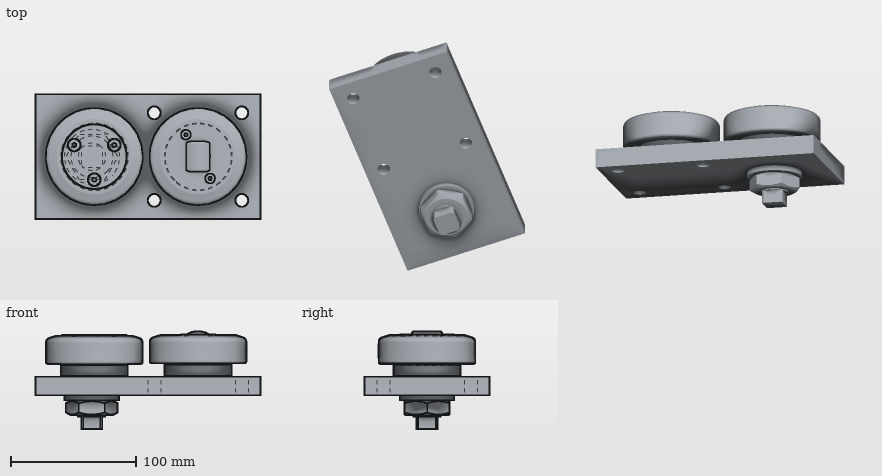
import cadquery as cq
import math

plate_length = 180.0
plate_width = 100.0
plate_thickness = 15.0
plate_hole_diameter = 10.11
plate_hole_margin = 15.0
plate_hole_pitch = 70.0

roller_y = plate_width / 2
left_roller_x = 47.0
right_roller_x = 130.0
roller_radius = 77.7 / 2
roller_height = 22.8
left_roller_base_z = 25.0
right_roller_base_z = 25.5
crown_radius = 500.0
top_face_radius = 30.0
top_cone_angle = math.radians(21.5)
shoulder_radius = 4.2
shoulder_start_height = 17.0
bottom_edge_radius = 2.0
neck_radius = 27.0
neck_gap = 0.5
neck_chamfer = 0.5
core_radius = neck_radius - neck_chamfer

lid_radius = 26.0
lid_height = 0.6
lid_chamfer = 0.3
lid_screw_circle_radius = 18.5
lid_screw_hole_diameter = 10.4
lid_screw_head_diameter = 9.75
lid_screw_count = 3
lid_screw_start_angle = 30.0
lid_socket_across_flats = 3.0
lid_socket_rotation = 30.0
screw_gap_depth = 0.5

cap_screw_circle_radius = 20.0
cap_screw_diameter = 7.8
cap_screw_height = 0.5
cap_screw_count = 2
cap_screw_start_angle = 119.0
cap_socket_across_flats = 2.5
cap_socket_rotation = 0.0

socket_depth = 1.0

axial_roller_radius = 16.0
axial_roller_length = 24.2
axial_roller_top_z = 51.5
axial_roller_edge_radius = 2.0

stud_x = 45.0
collar_diameter = 44.0
collar_height = 4.0
nut_across_flats = 36.0
nut_height = 12.0
nut_face_radius = 16.7
nut_chamfer_angle = math.radians(30.0)
stud_diameter = 22.0
stud_step_height = 1.0
square_size = 17.0
square_height = 10.0


def crown_drop(half_length):
    """Radius lost at the end of a crown that peaks half_length away."""
    return crown_radius - math.sqrt(crown_radius**2 - half_length**2)


def disc(diameter, height, x, y, z):
    return cq.Workplane("XY", origin=(x, y, z)).circle(diameter / 2).extrude(height)


def hex_prism(across_flats, height, x, y, z, rotation=0.0):
    """Upright hexagonal prism; with no rotation its corners lie along X."""
    corner_diameter = across_flats / math.cos(math.pi / 6)
    prism = cq.Workplane("XY").polygon(6, corner_diameter).extrude(height)
    return prism.rotate((0, 0, 0), (0, 0, 1), rotation).translate((x, y, z))


def circle_places(x, radius, count, start_angle):
    """Equally spaced places around a roller centre."""
    places = []
    for index in range(count):
        angle = math.radians(start_angle + index * 360.0 / count)
        places.append((x + radius * math.cos(angle), roller_y + radius * math.sin(angle)))
    return places


def make_plate():
    plate = cq.Workplane("XY").box(plate_length, plate_width, plate_thickness, centered=False)
    far_x = plate_length - plate_hole_margin
    for x in (far_x - plate_hole_pitch, far_x):
        for y in (plate_hole_margin, plate_hole_margin + plate_hole_pitch):
            plate = plate.cut(disc(plate_hole_diameter, plate_thickness, x, y, 0))
    return plate


def make_roller(x, base_z):
    """Neck, core and crowned roller body, revolved about a vertical axis."""
    neck_height = base_z - neck_gap - plate_thickness
    neck = disc(2 * neck_radius, neck_height, x, roller_y, plate_thickness)
    neck = neck.faces("<Z or >Z").chamfer(neck_chamfer)
    core = disc(2 * core_radius, base_z - plate_thickness, x, roller_y, plate_thickness)

    crown_half = (shoulder_start_height - bottom_edge_radius) / 2
    edge_radius = roller_radius - crown_drop(crown_half)
    arc_center_r = edge_radius - shoulder_radius
    cone_start_r = arc_center_r + shoulder_radius * math.sin(top_cone_angle)
    cone_start_z = shoulder_start_height + shoulder_radius * math.cos(top_cone_angle)
    arc_middle_angle = (math.pi / 2 - top_cone_angle) / 2
    arc_middle = (
        arc_center_r + shoulder_radius * math.cos(arc_middle_angle),
        shoulder_start_height + shoulder_radius * math.sin(arc_middle_angle),
    )
    body = (
        cq.Workplane("XZ", origin=(x, roller_y, base_z))
        .lineTo(edge_radius - bottom_edge_radius, 0)
        .radiusArc((edge_radius, bottom_edge_radius), -bottom_edge_radius)
        .threePointArc((roller_radius, bottom_edge_radius + crown_half), (edge_radius, shoulder_start_height))
        .threePointArc(arc_middle, (cone_start_r, cone_start_z))
        .lineTo(top_face_radius, roller_height)
        .lineTo(0, roller_height)
        .close()
        .revolve(360, (0, 0, 0), (0, 1, 0))
    )
    return neck.union(core).union(body)


def add_lid(roller):
    """Raised lid with three flush screws, each in a narrow ring gap."""
    lid_z = left_roller_base_z + roller_height
    lid_top_z = lid_z + lid_height
    lid = disc(2 * lid_radius, lid_height, left_roller_x, roller_y, lid_z)
    roller = roller.union(lid.faces(">Z").chamfer(lid_chamfer))
    places = circle_places(left_roller_x, lid_screw_circle_radius, lid_screw_count, lid_screw_start_angle)
    gap_z = lid_top_z - screw_gap_depth
    socket_z = lid_top_z - socket_depth
    for x, y in places:
        gap = disc(lid_screw_hole_diameter, screw_gap_depth, x, y, gap_z)
        gap = gap.cut(disc(lid_screw_head_diameter, screw_gap_depth, x, y, gap_z))
        socket = hex_prism(lid_socket_across_flats, socket_depth, x, y, socket_z, lid_socket_rotation)
        roller = roller.cut(gap).cut(socket)
    return roller


def add_cap_screws(roller):
    face_z = right_roller_base_z + roller_height
    socket_z = face_z + cap_screw_height - socket_depth
    places = circle_places(right_roller_x, cap_screw_circle_radius, cap_screw_count, cap_screw_start_angle)
    for x, y in places:
        roller = roller.union(disc(cap_screw_diameter, cap_screw_height, x, y, face_z))
        socket = hex_prism(cap_socket_across_flats, socket_depth, x, y, socket_z, cap_socket_rotation)
        roller = roller.cut(socket)
    return roller


def make_axial_roller():
    """Crowned roller lying along Y with rounded end edges."""
    half_length = axial_roller_length / 2
    crown_half = half_length - axial_roller_edge_radius
    edge_radius = axial_roller_radius - crown_drop(crown_half)
    end_radius = edge_radius - axial_roller_edge_radius
    return (
        cq.Workplane("YZ", origin=(right_roller_x, roller_y, axial_roller_top_z - axial_roller_radius))
        .moveTo(-half_length, 0)
        .lineTo(-half_length, end_radius)
        .radiusArc((-crown_half, edge_radius), axial_roller_edge_radius)
        .threePointArc((0, axial_roller_radius), (crown_half, edge_radius))
        .radiusArc((half_length, end_radius), axial_roller_edge_radius)
        .lineTo(half_length, 0)
        .close()
        .revolve(360, (0, 0, 0), (1, 0, 0))
    )


def make_nut():
    """Hexagon with corners on the X axis, both ends chamfered by a cone."""
    nut_z = -collar_height - nut_height
    corner_radius = nut_across_flats / 2 / math.cos(math.pi / 6)
    chamfer_height = (corner_radius - nut_face_radius) * math.tan(nut_chamfer_angle)
    hexagon = hex_prism(nut_across_flats, nut_height, stud_x, roller_y, nut_z)
    envelope = (
        cq.Workplane("XZ", origin=(stud_x, roller_y, nut_z))
        .lineTo(nut_face_radius, 0)
        .lineTo(corner_radius, chamfer_height)
        .lineTo(corner_radius, nut_height - chamfer_height)
        .lineTo(nut_face_radius, nut_height)
        .lineTo(0, nut_height)
        .close()
        .revolve(360, (0, 0, 0), (0, 1, 0))
    )
    return hexagon.intersect(envelope)


def make_stud():
    """Collar, nut, round step and square drive, downwards from the plate."""
    step_z = -collar_height - nut_height - stud_step_height
    square_z = step_z - square_height
    collar = disc(collar_diameter, collar_height, stud_x, roller_y, -collar_height)
    step = disc(stud_diameter, stud_step_height, stud_x, roller_y, step_z)
    square = (
        cq.Workplane("XY", origin=(stud_x, roller_y, square_z))
        .rect(square_size, square_size)
        .extrude(square_height)
        .intersect(disc(stud_diameter, square_height, stud_x, roller_y, square_z))
    )
    return collar.union(make_nut()).union(step).union(square)


left_roller = add_lid(make_roller(left_roller_x, left_roller_base_z))
right_roller = make_roller(right_roller_x, right_roller_base_z).union(make_axial_roller())
right_roller = add_cap_screws(right_roller)

result = make_plate().union(left_roller).union(right_roller).union(make_stud())